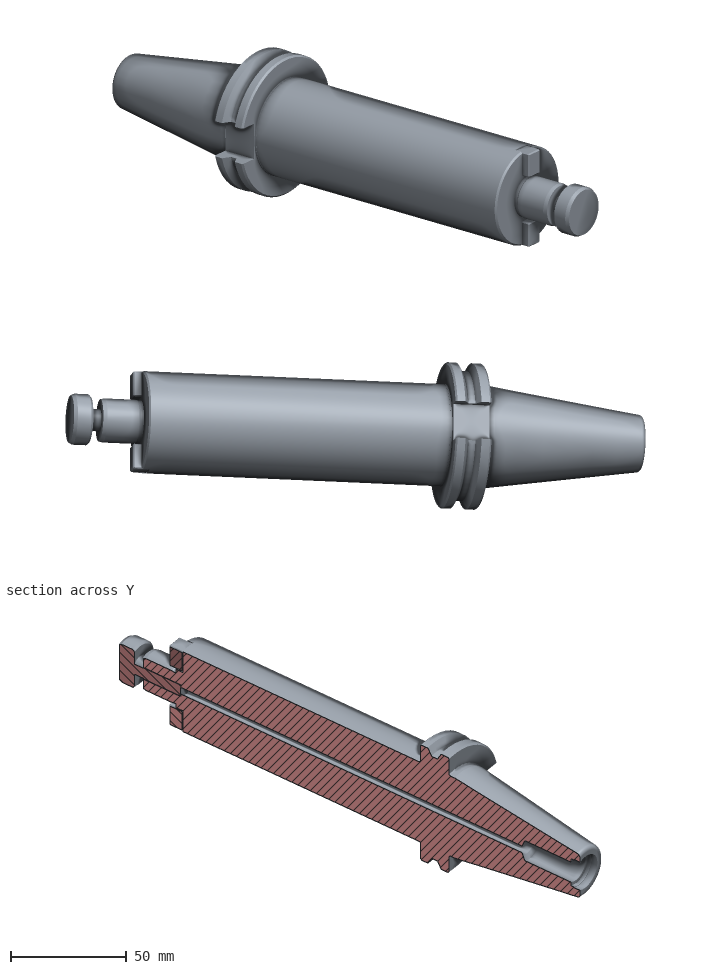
import cadquery as cq
import math


total_length = 251.2
gauge_diameter = 44.5
gauge_x = 68.3
taper_slope = 7 / 24 / 2
taper_end_radius = gauge_diameter / 2 - gauge_x * taper_slope
taper_end_fillet = 2.0

mouth_diameter = 16.8
mouth_depth = 3.3
pilot_diameter = 16.3
pilot_depth = 5.0
thread_diameter = 13.0
thread_depth = 30.2
passage_diameter = 8.3
drill_half_angle = math.radians(59)

flange_diameter = 63.3
flange_start_x = 71.4
flange_width = 15.8
flange_end_x = flange_start_x + flange_width
flange_chamfer = 0.8
flange_root_fillet = 0.5
collar_end_x = 88.0
groove_center_x = 79.5
groove_floor_width = 3.0
groove_depth = 3.5
groove_half_angle = math.radians(30)

slot_width = 16.3
front_slot_floor = 22.5
back_slot_floor = 24.5

body_diameter = 44.2
body_end_x = 220.3
body_chamfer = 0.8
spigot_diameter = 19.0
spigot_end_x = 238.2
spigot_chamfer_length = 1.8
spigot_chamfer_depth = 0.38
undercut_diameter = 18.5
undercut_floor_end_x = 221.9
undercut_end_x = 222.4

key_start_x = 216.5
key_end_x = 224.0
key_width = 7.8
key_inner_z = 10.5
key_outer_z = 21.5
key_chamfer = 0.5

shank_diameter = 9.5
shank_length = 25.0
head_diameter = 22.0
head_start_x = 242.7
head_back_chamfer = 1.0
head_front_chamfer_length = 1.5
head_front_chamfer_depth = 0.8
shank_start_x = head_start_x - shank_length


def revolve_about_x(points):
    """Solid of revolution about X from an outline of (x, radius) points."""
    return cq.Workplane("XY").polyline(points).close().revolve(360, (0, 0, 0), (1, 0, 0))


def cylinder_along_x(diameter, start_x, end_x):
    return cq.Workplane("YZ", origin=(start_x, 0, 0)).circle(diameter / 2).extrude(end_x - start_x)


def block(x_range, y_range, z_range):
    """Box between two limits on each axis."""
    lows, highs = zip(x_range, y_range, z_range)
    sizes = [high - low for low, high in zip(lows, highs)]
    return cq.Workplane("XY").box(*sizes, centered=False).translate(lows)


def taper():
    """Taper with its rounded small end."""
    cone = revolve_about_x([
        (0, 0),
        (0, taper_end_radius),
        (gauge_x, gauge_diameter / 2),
        (gauge_x, 0),
    ])
    return cone.faces("<X").edges().fillet(taper_end_fillet)


def flange_and_body():
    flange_radius = flange_diameter / 2
    body_radius = body_diameter / 2
    groove_floor_radius = flange_radius - groove_depth
    groove_floor_half = groove_floor_width / 2
    groove_top_half = groove_floor_half + groove_depth * math.tan(groove_half_angle)
    spigot_radius = spigot_diameter / 2
    outline = (
        cq.Workplane("XY")
        .moveTo(gauge_x, 0)
        .lineTo(gauge_x, gauge_diameter / 2)
        .lineTo(flange_start_x - flange_root_fillet, gauge_diameter / 2)
        .radiusArc((flange_start_x, gauge_diameter / 2 + flange_root_fillet), -flange_root_fillet)
        .lineTo(flange_start_x, flange_radius - flange_chamfer)
        .lineTo(flange_start_x + flange_chamfer, flange_radius)
        .lineTo(groove_center_x - groove_top_half, flange_radius)
        .lineTo(groove_center_x - groove_floor_half, groove_floor_radius)
        .lineTo(groove_center_x + groove_floor_half, groove_floor_radius)
        .lineTo(groove_center_x + groove_top_half, flange_radius)
        .lineTo(flange_end_x - flange_chamfer, flange_radius)
        .lineTo(flange_end_x, flange_radius - flange_chamfer)
        .lineTo(flange_end_x, gauge_diameter / 2)
        .lineTo(collar_end_x, gauge_diameter / 2)
        .lineTo(collar_end_x, body_radius)
        .lineTo(body_end_x - body_chamfer, body_radius)
        .lineTo(body_end_x, body_radius - body_chamfer)
        .lineTo(body_end_x, undercut_diameter / 2)
        .lineTo(undercut_floor_end_x, undercut_diameter / 2)
        .lineTo(undercut_end_x, spigot_radius)
        .lineTo(spigot_end_x - spigot_chamfer_length, spigot_radius)
        .lineTo(spigot_end_x, spigot_radius - spigot_chamfer_depth)
        .lineTo(spigot_end_x, 0)
        .close()
    )
    return outline.revolve(360, (0, 0, 0), (1, 0, 0))


def drawbar_bore():
    """Stepped bore from the small end of the taper, with a passage up to the screw."""
    mouth_radius = mouth_diameter / 2
    pilot_radius = pilot_diameter / 2
    thread_radius = thread_diameter / 2
    passage_radius = passage_diameter / 2
    drill_point_length = (thread_radius - passage_radius) / math.tan(drill_half_angle)
    return revolve_about_x([
        (0, 0),
        (0, mouth_radius),
        (mouth_depth, mouth_radius),
        (mouth_depth, pilot_radius),
        (pilot_depth, pilot_radius),
        (pilot_depth, thread_radius),
        (thread_depth, thread_radius),
        (thread_depth + drill_point_length, passage_radius),
        (shank_start_x, passage_radius),
        (shank_start_x, 0),
    ])


def drive_slots():
    """Two slots across the flange, the one on the +Y side shallower."""
    x_range = (flange_start_x, flange_end_x)
    z_range = (-slot_width / 2, slot_width / 2)
    front = block(x_range, (-flange_diameter, -front_slot_floor), z_range)
    back = block(x_range, (back_slot_floor, flange_diameter), z_range)
    return front.union(back)


def key_seats():
    """Seats of both keys, open through the side of the body."""
    seat = block(
        (key_start_x, key_end_x),
        (-key_width / 2, key_width / 2),
        (key_inner_z, body_diameter),
    )
    return seat.union(seat.rotate((0, 0, 0), (1, 0, 0), 180))


def make_housing():
    screw_hole = cylinder_along_x(shank_diameter, shank_start_x, spigot_end_x)
    solid = taper().union(flange_and_body())
    return solid.cut(drawbar_bore()).cut(drive_slots()).cut(key_seats()).cut(screw_hole)


def make_key(angle):
    """Drive key, turned about the X axis from the +Z side."""
    key = block(
        (key_start_x, key_end_x),
        (-key_width / 2, key_width / 2),
        (key_inner_z, key_outer_z),
    )
    key = key.edges().chamfer(key_chamfer)
    return key.rotate((0, 0, 0), (1, 0, 0), angle)


def make_screw():
    shank_radius = shank_diameter / 2
    head_radius = head_diameter / 2
    return revolve_about_x([
        (shank_start_x, 0),
        (shank_start_x, shank_radius),
        (head_start_x, shank_radius),
        (head_start_x, head_radius - head_back_chamfer),
        (head_start_x + head_back_chamfer, head_radius),
        (total_length - head_front_chamfer_length, head_radius),
        (total_length, head_radius - head_front_chamfer_depth),
        (total_length, 0),
    ])


housing = make_housing()
screw = make_screw()
keys = [make_key(angle) for angle in (0, 180)]

result = cq.Compound.makeCompound([housing.val(), screw.val(), *[key.val() for key in keys]])